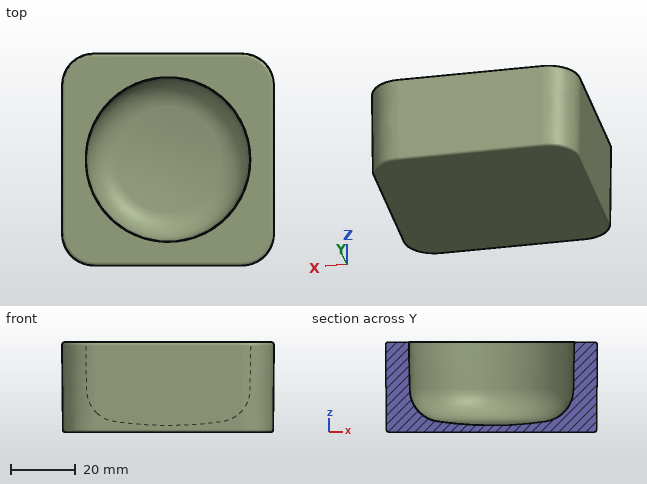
import cadquery as cq
import math

TOP_WIDTH = 65.56
HEIGHT = 27.93
CORNER_RADIUS = 10.0
WALL_DRAFT = 0.6
TOP_FILLET = 1.1
BASE_FILLET = 0.8

RIM_RADIUS = 25.5
BOWL_DRAFT = 1.0
STRAIGHT_DEPTH = 14.8
BLEND_RADIUS = 10.0
FLOOR_RADIUS = 16.7


def make_block():
    """Drafted rounded square with filleted top and base edges."""
    draft = math.radians(WALL_DRAFT)
    fillet_trim = TOP_FILLET * (1 / math.cos(draft) - 1 + math.tan(draft))
    sharp_width = TOP_WIDTH + 2 * fillet_trim
    return (
        cq.Workplane("XY")
        .workplane(offset=HEIGHT)
        .sketch()
        .rect(sharp_width, sharp_width)
        .vertices()
        .fillet(CORNER_RADIUS)
        .finalize()
        .extrude(-HEIGHT, taper=WALL_DRAFT)
        .faces(">Z")
        .edges()
        .fillet(TOP_FILLET)
        .faces("<Z")
        .edges()
        .fillet(BASE_FILLET)
    )


def make_bowl():
    """Revolved cavity: conical wall, tangent round blend and spherical floor."""
    draft = math.radians(BOWL_DRAFT)
    wall_end_radius = RIM_RADIUS - STRAIGHT_DEPTH * math.tan(draft)
    wall_end_z = HEIGHT - STRAIGHT_DEPTH

    blend_center_radius = wall_end_radius - BLEND_RADIUS * math.cos(draft)
    blend_center_z = wall_end_z + BLEND_RADIUS * math.sin(draft)

    floor_slope = math.asin((FLOOR_RADIUS - blend_center_radius) / BLEND_RADIUS)
    floor_sphere_radius = FLOOR_RADIUS / math.sin(floor_slope)
    floor_edge_z = blend_center_z - BLEND_RADIUS * math.cos(floor_slope)

    def blend_point(angle):
        return (
            blend_center_radius + BLEND_RADIUS * math.sin(angle),
            blend_center_z - BLEND_RADIUS * math.cos(angle),
        )

    def floor_point(angle):
        drop = math.cos(angle) - math.cos(floor_slope)
        return (
            floor_sphere_radius * math.sin(angle),
            floor_edge_z - floor_sphere_radius * drop,
        )

    wall_angle = math.pi / 2 - draft
    profile = (
        cq.Workplane("XZ")
        .moveTo(0, HEIGHT)
        .lineTo(RIM_RADIUS, HEIGHT)
        .lineTo(wall_end_radius, wall_end_z)
        .threePointArc(blend_point((wall_angle + floor_slope) / 2), blend_point(floor_slope))
        .threePointArc(floor_point(floor_slope / 2), floor_point(0))
        .close()
    )
    return profile.revolve(360, (0, 0, 0), (0, 1, 0))


result = make_block().cut(make_bowl())